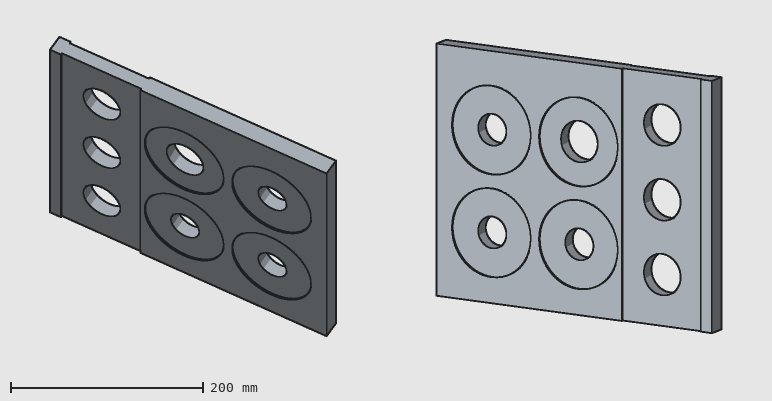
import cadquery as cq

width = 332.0
thickness = 20.0
height = 270.0
left_x = -width / 2

rib_width = 13.3
relief_end = 108.5
relief_depth = 2.0

strip_hole_diameter = 44.0
strip_hole_x = left_x + 61.0
strip_hole_pitch = 80.0

seat_diameter = 95.0
seat_depth = 2.0
seat_left_x = left_x + 161.0
seat_right_x = seat_left_x + 105.0
seat_lower_z = -height / 2 + 75.5
seat_upper_z = seat_lower_z + 110.0
small_bore = 34.0
large_bore = strip_hole_diameter


def cross_cylinder(x, z, diameter, length, center_y=0):
    """Cylinder along Y, centred on center_y."""
    return (
        cq.Workplane("XZ", origin=(x, center_y + length / 2, z))
        .circle(diameter / 2)
        .extrude(length)
    )


plate = cq.Workplane("XY").box(width, thickness, height)

relief_width = relief_end - rib_width
relief_x = left_x + rib_width + relief_width / 2
for side in (-1, 1):
    relief_y = side * (thickness - relief_depth) / 2
    relief = cq.Workplane("XY").box(relief_width, relief_depth, height)
    plate = plate.cut(relief.translate((relief_x, relief_y, 0)))

for row in (-1, 0, 1):
    plate = plate.cut(
        cross_cylinder(strip_hole_x, row * strip_hole_pitch, strip_hole_diameter, thickness)
    )

seats = [
    (seat_left_x, seat_lower_z, small_bore),
    (seat_left_x, seat_upper_z, large_bore),
    (seat_right_x, seat_lower_z, small_bore),
    (seat_right_x, seat_upper_z, small_bore),
]
for x, z, bore in seats:
    for side in (-1, 1):
        seat_y = side * (thickness - seat_depth) / 2
        plate = plate.cut(cross_cylinder(x, z, seat_diameter, seat_depth, seat_y))
    plate = plate.cut(cross_cylinder(x, z, bore, thickness))

result = plate